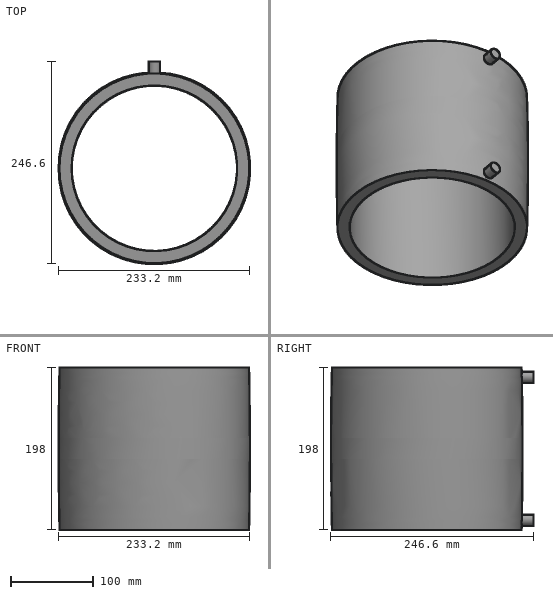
import cadquery as cq
import math

length = 198.0
bore_diameter = 201.0
band_diameter = 233.2
end_diameter = 231.0
band_width = 26.0

pin_diameter = 14.0
pin_tip_y = 130.0
pin_end_offset = 12.0

half_length = length / 2
half_band = band_width / 2
bore_radius = bore_diameter / 2
band_radius = band_diameter / 2
end_radius = end_diameter / 2
pin_root_y = (bore_radius + end_radius) / 2

arc_run = half_length - half_band
arc_drop = band_radius - end_radius
arc_radius = (arc_run**2 + arc_drop**2) / (2 * arc_drop)
arc_middle_z = half_band + arc_run / 2
arc_middle_radius = band_radius - arc_radius + math.sqrt(arc_radius**2 - (arc_run / 2) ** 2)


def make_sleeve():
    """Tube with a straight middle band that curves in slightly towards each end."""
    profile = (
        cq.Workplane("XZ")
        .moveTo(-bore_radius, -half_length)
        .lineTo(-end_radius, -half_length)
        .threePointArc((-arc_middle_radius, -arc_middle_z), (-band_radius, -half_band))
        .lineTo(-band_radius, half_band)
        .threePointArc((-arc_middle_radius, arc_middle_z), (-end_radius, half_length))
        .lineTo(-bore_radius, half_length)
        .close()
    )
    return profile.revolve(360, (0, 0, 0), (0, 1, 0))


def make_pin(z):
    """Round pin along +Y, rooted inside the tube wall."""
    return (
        cq.Workplane("XZ", origin=(0, pin_root_y, z))
        .circle(pin_diameter / 2)
        .extrude(-(pin_tip_y - pin_root_y))
    )


result = make_sleeve()
for side in (-1, 1):
    result = result.union(make_pin(side * (half_length - pin_end_offset)))